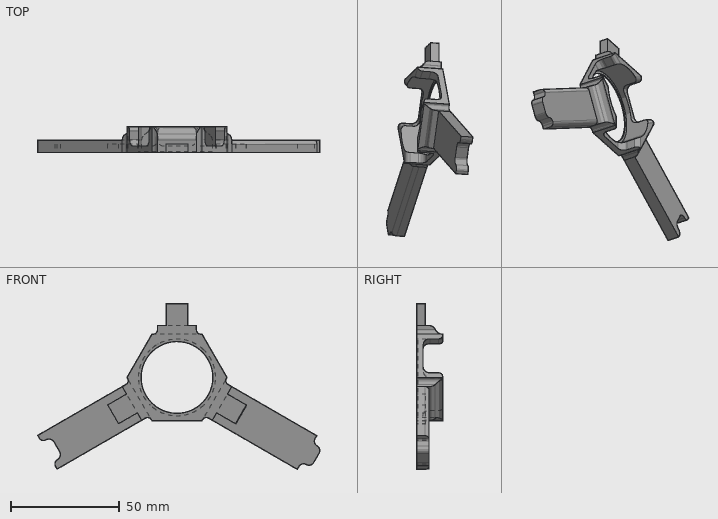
import cadquery as cq
import math

hub_depth = 12.0
flat_distance = 20.0
lip_diameter = 33.0
bore_diameter = 35.5
lip_depth = 0.5

shoulder_reach = 24.0
shoulder_width = 18.0
side_fillet = 2.0
crest_radius = 3.0

tongue_width = 10.0
tongue_length = 10.0
tongue_thickness = 4.0

window_width = 18.0
window_floor = 3.0
window_floor_radius = 3.0
window_mouth_radius = 2.0

arm_thickness = 5.75
arm_width = shoulder_width
arm_reach = 40.0 * math.sqrt(3.0)
plug_pocket_gap = 0.25
plug_arm_edge_fillet = 2.0

plug_length = 5.0
plug_tip_width = 5.0
plug_side_radius = plug_length / 2
joint_clearance = 0.25
socket_arm_reach = arm_reach - joint_clearance

arm_count = 3
arm_turn = 360.0 / arm_count
arc_middle = math.sqrt(0.5)


def turned(shape, angle):
    """Turn a shape about the hub axis, counter-clockwise seen from the front."""
    return shape.rotate((0, 0, 0), (0, 1, 0), -angle)


def box_above(width, depth, bottom, top):
    """Box centred on X, from Y = 0 to depth and from Z = bottom to top."""
    box = cq.Workplane("XY").box(width, depth, top - bottom, centered=(True, False, False))
    return box.translate((0, 0, bottom))


def front_extrusion(sketch, depth):
    """Extrude a closed XZ outline from Y = 0 towards +Y."""
    return sketch.extrude(-depth)


def make_shoulder():
    """Shoulder on the +Z flat: side profile crossed with front profile."""
    crest_y = arm_thickness
    crest_z = shoulder_reach - crest_radius
    run = hub_depth - crest_y
    offset = crest_z - flat_distance
    valley_radius = (run**2 + offset**2 - crest_radius**2) / (2 * (crest_radius + offset))
    valley_z = flat_distance + valley_radius
    slope = math.atan2(valley_z - crest_z, run)

    def on_crest(angle):
        return (crest_y + crest_radius * math.cos(angle), crest_z + crest_radius * math.sin(angle))

    def on_valley(angle):
        return (hub_depth + valley_radius * math.cos(angle), valley_z + valley_radius * math.sin(angle))

    valley_start = math.pi + slope
    valley_end = 1.5 * math.pi
    side_profile = (
        cq.Workplane("YZ")
        .lineTo(0, shoulder_reach)
        .lineTo(crest_y, shoulder_reach)
        .threePointArc(on_crest((math.pi / 2 + slope) / 2), on_crest(slope))
        .threePointArc(on_valley((valley_start + valley_end) / 2), on_valley(valley_end))
        .lineTo(hub_depth, 0)
        .close()
        .extrude(shoulder_width, both=True)
    )

    half = shoulder_width / 2
    bend = side_fillet * (1 - arc_middle)
    foot = half + side_fillet
    fillet_top = flat_distance + side_fillet
    front_profile = front_extrusion(
        cq.Workplane("XZ")
        .moveTo(-foot, 0)
        .lineTo(-foot, flat_distance)
        .threePointArc((-half - bend, flat_distance + bend), (-half, fillet_top))
        .lineTo(-half, shoulder_reach)
        .lineTo(half, shoulder_reach)
        .lineTo(half, fillet_top)
        .threePointArc((half + bend, flat_distance + bend), (foot, flat_distance))
        .lineTo(foot, 0)
        .close(),
        hub_depth,
    )
    return side_profile.intersect(front_profile)


def make_window():
    """Cutter for a window in the +Z flat, with rounded floor corners and flared mouth."""
    half = window_width / 2
    floor_bend = window_floor_radius * (1 - arc_middle)
    mouth_bend = window_mouth_radius * (1 - arc_middle)
    floor_top = window_floor + window_floor_radius
    mouth_start = hub_depth - window_mouth_radius
    mouth_half = half + window_mouth_radius
    return (
        cq.Workplane("XY")
        .moveTo(-half + window_floor_radius, window_floor)
        .lineTo(half - window_floor_radius, window_floor)
        .threePointArc((half - floor_bend, window_floor + floor_bend), (half, floor_top))
        .lineTo(half, mouth_start)
        .threePointArc((half + mouth_bend, hub_depth - mouth_bend), (mouth_half, hub_depth))
        .lineTo(-mouth_half, hub_depth)
        .threePointArc((-half - mouth_bend, hub_depth - mouth_bend), (-half, mouth_start))
        .lineTo(-half, floor_top)
        .threePointArc((-half + floor_bend, window_floor + floor_bend),
                       (-half + window_floor_radius, window_floor))
        .close()
        .extrude(shoulder_reach)
    )


def make_hub():
    corner_diameter = 2 * flat_distance / math.cos(math.pi / 6)
    hub = front_extrusion(cq.Workplane("XZ").polygon(6, corner_diameter), hub_depth)
    shoulder = make_shoulder()
    tongue = box_above(tongue_width, tongue_thickness, flat_distance, shoulder_reach + tongue_length)
    window = make_window()
    for index in range(arm_count):
        hub = hub.union(turned(shoulder, index * arm_turn))
        hub = hub.union(turned(tongue, index * arm_turn))
    for index in range(arm_count):
        hub = hub.cut(turned(window, (index + 0.5) * arm_turn))
    lip = front_extrusion(cq.Workplane("XZ").circle(lip_diameter / 2), hub_depth)
    bore = front_extrusion(cq.Workplane("XZ").circle(bore_diameter / 2), hub_depth)
    return hub.cut(lip).cut(bore.translate((0, lip_depth, 0)))


def make_plug(root_z, clearance):
    """Plug from root_z outwards, with S-shaped sides and grown by a clearance all round."""
    tip_radius = plug_side_radius + clearance
    root_radius = plug_side_radius - clearance
    tip_half = plug_tip_width / 2
    neck_half = tip_half + tip_radius
    root_half = neck_half + root_radius
    neck_z = root_z + root_radius
    tip_z = neck_z + tip_radius
    tip_bend = tip_radius * arc_middle
    root_bend = root_radius * arc_middle
    return front_extrusion(
        cq.Workplane("XZ")
        .moveTo(-root_half, root_z)
        .threePointArc((-root_half + root_bend, neck_z - root_bend), (-neck_half, neck_z))
        .threePointArc((-tip_half - tip_bend, neck_z + tip_bend), (-tip_half, tip_z))
        .lineTo(tip_half, tip_z)
        .threePointArc((tip_half + tip_bend, neck_z + tip_bend), (neck_half, neck_z))
        .threePointArc((root_half - root_bend, neck_z - root_bend), (root_half, root_z))
        .close(),
        arm_thickness,
    )


def make_arm_blank(reach):
    """Plain arm pointing to +Z, from the shoulder end face to its own end face."""
    return box_above(arm_width, arm_thickness, shoulder_reach, reach)


def make_tongue_pocket(gap):
    """Cutter for the pocket that takes a hub tongue, with a gap past its tip."""
    return box_above(tongue_width, tongue_thickness, shoulder_reach,
                     shoulder_reach + tongue_length + gap)


def make_socket_arm():
    arm = make_arm_blank(socket_arm_reach).cut(make_tongue_pocket(0.0))
    socket = make_plug(-socket_arm_reach, joint_clearance).mirror("XY")
    arm = arm.cut(socket)
    return turned(arm, arm_turn)


def make_plug_arm():
    arm = make_arm_blank(arm_reach).edges("|Z and >Y").fillet(plug_arm_edge_fillet)
    arm = arm.cut(make_tongue_pocket(plug_pocket_gap))
    arm = arm.union(make_plug(arm_reach, 0.0))
    return turned(arm, -arm_turn)


hub = make_hub()
socket_arm = make_socket_arm()
plug_arm = make_plug_arm()

result = cq.Compound.makeCompound([hub.val(), socket_arm.val(), plug_arm.val()])